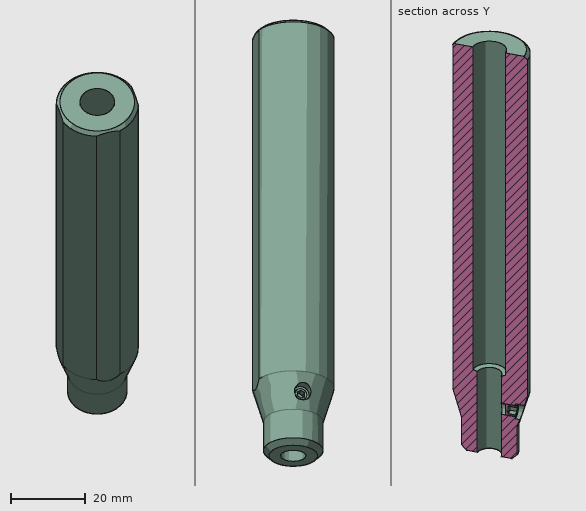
import cadquery as cq
import math

LENGTH = 125.0
SHANK_RADIUS = 11.0
FLAT_DISTANCE = 10.5
TOP_CHAMFER = 1.0

TAPER_TOP = 20.0
TAPER_BOTTOM = 10.0
NOSE_RADIUS = 8.0
NOSE_CHAMFER = 1.5

BORE_RADIUS = 4.6
OUTLET_RADIUS = 3.4
OUTLET_TOP = 25.0
DRILL_POINT_ANGLE = 140.0

SCREW_HEIGHT = 14.9
SCREW_RADIUS = 1.6
COUNTERBORE_RADIUS = 2.2
SCREW_FACE_X = -7.5
SCREW_INNER_X = -BORE_RADIUS
SOCKET_ACROSS_FLATS = 2.0
SOCKET_DEPTH = 2.0


def turned_blank():
    outline = (
        cq.Workplane("XZ")
        .moveTo(0, 0)
        .lineTo(NOSE_RADIUS - NOSE_CHAMFER, 0)
        .lineTo(NOSE_RADIUS, NOSE_CHAMFER)
        .lineTo(NOSE_RADIUS, TAPER_BOTTOM)
        .lineTo(SHANK_RADIUS, TAPER_TOP)
        .lineTo(SHANK_RADIUS, LENGTH - TOP_CHAMFER)
        .lineTo(SHANK_RADIUS - TOP_CHAMFER, LENGTH)
        .lineTo(0, LENGTH)
        .close()
    )
    return outline.revolve(360, (0, 0, 0), (0, 1, 0))


def flat_envelope():
    """Block whose -Y, +Y and +X sides are the three flats."""
    size_x = SHANK_RADIUS + FLAT_DISTANCE
    return (
        cq.Workplane("XY")
        .box(size_x, 2 * FLAT_DISTANCE, LENGTH, centered=(False, True, False))
        .translate((-SHANK_RADIUS, 0, 0))
    )


def stepped_bore():
    cone_height = (BORE_RADIUS - OUTLET_RADIUS) / math.tan(math.radians(DRILL_POINT_ANGLE / 2))
    outline = (
        cq.Workplane("XZ")
        .moveTo(0, 0)
        .lineTo(OUTLET_RADIUS, 0)
        .lineTo(OUTLET_RADIUS, OUTLET_TOP)
        .lineTo(BORE_RADIUS, OUTLET_TOP + cone_height)
        .lineTo(BORE_RADIUS, LENGTH)
        .lineTo(0, LENGTH)
        .close()
    )
    return outline.revolve(360, (0, 0, 0), (0, 1, 0))


def radial_plane(x):
    """Workplane across the screw axis at the given x, facing +X."""
    return cq.Workplane("YZ", origin=(x, 0, SCREW_HEIGHT))


def screw_hole():
    """Counterbored hole that runs from the taper into the outlet."""
    counterbore = (
        radial_plane(-SHANK_RADIUS)
        .circle(COUNTERBORE_RADIUS)
        .extrude(SCREW_FACE_X + SHANK_RADIUS)
    )
    passage = radial_plane(SCREW_FACE_X).circle(SCREW_RADIUS).extrude(-SCREW_FACE_X)
    return counterbore.union(passage)


def make_housing():
    housing = turned_blank().intersect(flat_envelope())
    return housing.cut(stepped_bore()).cut(screw_hole())


def make_set_screw():
    screw = radial_plane(SCREW_FACE_X).circle(SCREW_RADIUS).extrude(SCREW_INNER_X - SCREW_FACE_X)
    socket = (
        radial_plane(SCREW_FACE_X)
        .polygon(6, SOCKET_ACROSS_FLATS, circumscribed=True)
        .extrude(SOCKET_DEPTH)
    )
    return screw.cut(socket)


housing = make_housing()
set_screw = make_set_screw()
result = cq.Compound.makeCompound([housing.val(), set_screw.val()])